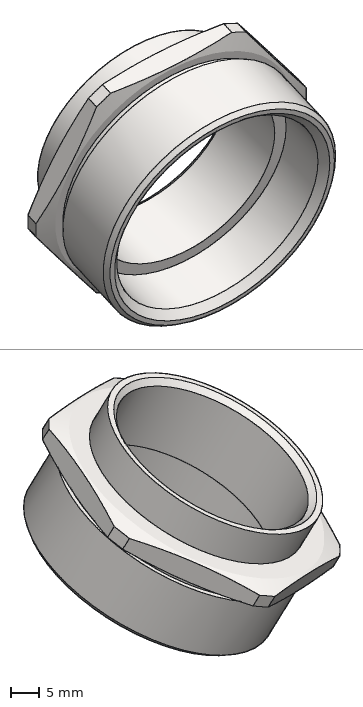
import cadquery as cq
import math

collar_length = 7.0
hex_thickness = 4.45
relief_width = 1.5
body_length = 13.5

collar_radius = 21.5
relief_radius = 23.9
body_radius = 24.95
body_chamfer = 0.85

across_flats = 52.0
across_trimmed_corners = 58.05
bevel_start_radius = 25.5
bevel_angle = 15.0

bore_radius = 19.15
bore_chamfer = 1.1
wide_bore_radius = 21.6
wide_bore_chamfer = 1.5
wide_bore_depth = 11.5

hex_start = collar_length
hex_end = hex_start + hex_thickness
body_start = hex_end + relief_width
total_length = body_start + body_length


def revolve_about_x(points):
    """Turn a closed (x, radius) outline around the X axis."""
    return cq.Workplane("XY").polyline(points).close().revolve(360, (0, 0, 0), (1, 0, 0))


def cylinder(start, length, radius):
    """Solid cylinder along the X axis, beginning at start."""
    return cq.Workplane("YZ").workplane(offset=start).circle(radius).extrude(length)


def hexagonal_prism(flat_distance, turn):
    """Hexagon across the flange thickness; at zero turn its corners lie on the Y axis."""
    corner_diameter = flat_distance / math.cos(math.radians(30))
    hexagon = cq.Workplane("YZ").workplane(offset=hex_start).polygon(6, corner_diameter)
    prism = hexagon.extrude(hex_thickness)
    return prism.rotate((0, 0, 0), (1, 0, 0), turn)


def hex_flange():
    """Hexagon with trimmed corners, bevelled on both faces by cones around the X axis."""
    outer_radius = across_flats / math.sqrt(3)
    bevel_depth = (outer_radius - bevel_start_radius) * math.tan(math.radians(bevel_angle))
    bevel_envelope = revolve_about_x([
        (hex_start, 0),
        (hex_start, bevel_start_radius),
        (hex_start + bevel_depth, outer_radius),
        (hex_end - bevel_depth, outer_radius),
        (hex_end, bevel_start_radius),
        (hex_end, 0),
    ])
    flats = hexagonal_prism(across_flats, 0)
    corner_trim = hexagonal_prism(across_trimmed_corners, 30)
    return flats.intersect(corner_trim).intersect(bevel_envelope)


def bore():
    """Solid of the stepped through bore, ready to be cut out."""
    wide_start = total_length - wide_bore_depth
    return revolve_about_x([
        (0, 0),
        (0, bore_radius + bore_chamfer),
        (bore_chamfer, bore_radius),
        (wide_start, bore_radius),
        (wide_start, wide_bore_radius),
        (total_length - wide_bore_chamfer, wide_bore_radius),
        (total_length, wide_bore_radius + wide_bore_chamfer),
        (total_length, 0),
    ])


collar = cylinder(0, hex_end, collar_radius)
relief = cylinder(hex_end, relief_width, relief_radius)
body = cylinder(body_start, body_length, body_radius).faces(">X").chamfer(body_chamfer)

result = collar.union(hex_flange()).union(relief).union(body).cut(bore())